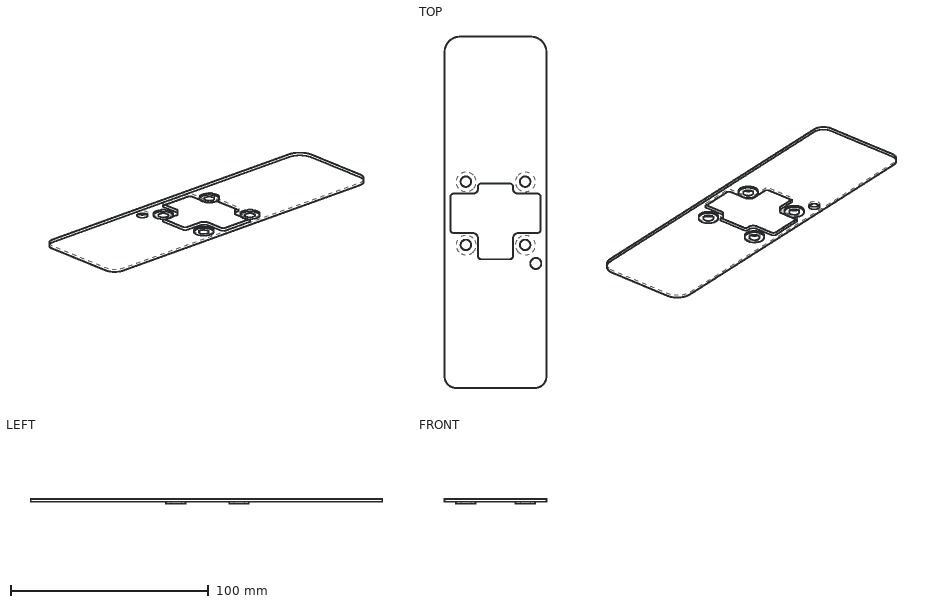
import cadquery as cq

PLATE_WIDTH = 51.7
PLATE_LENGTH = 177.96
PLATE_THICKNESS = 1.6
BACK_CORNER_RADIUS = 8.0
FRONT_CORNER_RADIUS = 6.0

PATTERN_CENTER_Y = -0.5
SCREW_SPACING_X = 30.0
SCREW_SPACING_Y = 32.0
SCREW_HOLE_DIAMETER = 5.2
PAD_DIAMETER = 10.0
PAD_HEIGHT = 0.9

EXTRA_HOLE_DIAMETER = 5.5
EXTRA_HOLE_CENTER = (20.4, -25.9)

WIDE_ARM_SIZE_X = 45.5
WIDE_ARM_SIZE_Y = 19.8
NARROW_ARM_SIZE_X = 17.6
NARROW_ARM_BACK_Y = 14.5
NARROW_ARM_FRONT_Y = -23.7
ARM_END_RADIUS = 1.5
BACK_INNER_RADIUS = 2.5
FRONT_INNER_RADIUS = 3.0


def make_plate():
    plate = cq.Workplane("XY").box(
        PLATE_WIDTH, PLATE_LENGTH, PLATE_THICKNESS, centered=(True, True, False)
    )
    plate = plate.edges("|Z and >Y").fillet(BACK_CORNER_RADIUS)
    return plate.edges("|Z and <Y").fillet(FRONT_CORNER_RADIUS)


def screw_positions():
    return (
        cq.Workplane("XY")
        .center(0, PATTERN_CENTER_Y)
        .rect(SCREW_SPACING_X, SCREW_SPACING_Y, forConstruction=True)
        .vertices()
    )


def make_pads():
    return screw_positions().circle(PAD_DIAMETER / 2).extrude(-PAD_HEIGHT)


def make_screw_holes():
    holes = screw_positions().circle(SCREW_HOLE_DIAMETER / 2)
    return holes.extrude(PLATE_THICKNESS + PAD_HEIGHT).translate((0, 0, -PAD_HEIGHT))


def make_extra_hole():
    hole = cq.Workplane("XY").center(*EXTRA_HOLE_CENTER)
    return hole.circle(EXTRA_HOLE_DIAMETER / 2).extrude(PLATE_THICKNESS)


def make_cross_opening():
    arm_length = NARROW_ARM_BACK_Y - NARROW_ARM_FRONT_Y
    arm_center_y = (NARROW_ARM_BACK_Y + NARROW_ARM_FRONT_Y) / 2
    wide_arm = (
        cq.Workplane("XY")
        .center(0, PATTERN_CENTER_Y)
        .rect(WIDE_ARM_SIZE_X, WIDE_ARM_SIZE_Y)
        .extrude(PLATE_THICKNESS)
        .edges("|Z")
        .fillet(ARM_END_RADIUS)
    )
    narrow_arm = (
        cq.Workplane("XY")
        .center(0, arm_center_y)
        .rect(NARROW_ARM_SIZE_X, arm_length)
        .extrude(PLATE_THICKNESS)
        .edges("|Z")
        .fillet(ARM_END_RADIUS)
    )
    cross = wide_arm.union(narrow_arm)
    inner_corners = (
        (PATTERN_CENTER_Y + WIDE_ARM_SIZE_Y / 2, BACK_INNER_RADIUS),
        (PATTERN_CENTER_Y - WIDE_ARM_SIZE_Y / 2, FRONT_INNER_RADIUS),
    )
    for corner_y, radius in inner_corners:
        for corner_x in (-NARROW_ARM_SIZE_X / 2, NARROW_ARM_SIZE_X / 2):
            middle = (corner_x, corner_y, PLATE_THICKNESS / 2)
            cross = cross.edges(cq.NearestToPointSelector(middle)).fillet(radius)
    return cross


result = (
    make_plate()
    .union(make_pads())
    .cut(make_screw_holes())
    .cut(make_extra_hole())
    .cut(make_cross_opening())
)